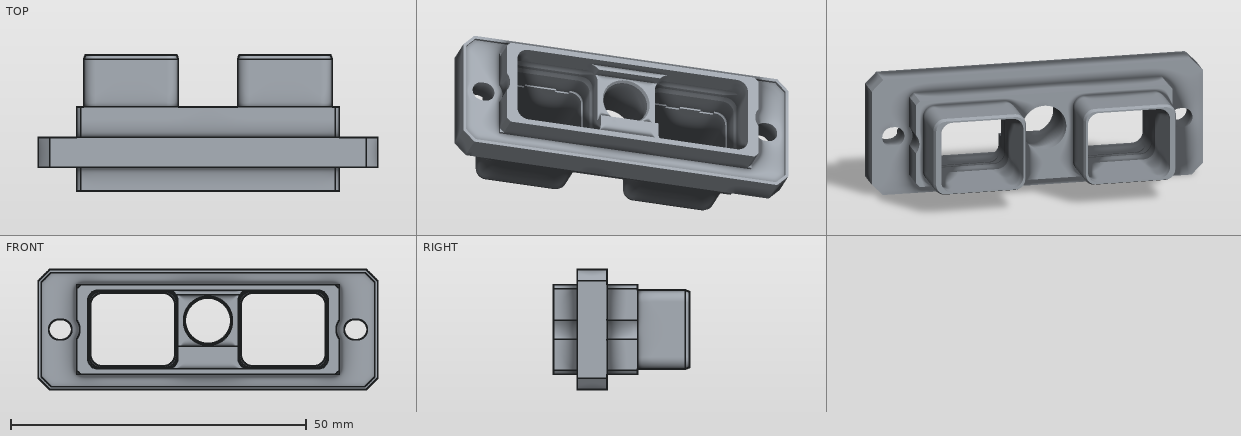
import cadquery as cq
import math


FLANGE_LENGTH = 57.45
FLANGE_HEIGHT = 20.35
FLANGE_FRONT = 4.0
FLANGE_THICKNESS = 5.05
FLANGE_REAR = FLANGE_FRONT + FLANGE_THICKNESS
FLANGE_CHAMFER = 1.95
RIM_WIDTH = 0.5
RECESS_DEPTH = 0.5
RECESS_CHAMFER = FLANGE_CHAMFER - RIM_WIDTH * (2 - math.sqrt(2))

BODY_LENGTH = 44.45
BODY_HEIGHT = 15.15
BODY_REAR = 14.25
BODY_CHAMFER = 0.7

SLOT_SPACING = 50.0
SLOT_LENGTH = 3.85
SLOT_HEIGHT = 3.4
RELIEF_RADIUS = 2.5
RELIEF_DEPTH = 0.6

TOWER_SPACING = 26.0
TOWER_LENGTH = 16.0
TOWER_HEIGHT = 13.4
TOWER_REAR = 23.05
TOWER_LIP_INSET = 0.3
TOWER_LIP_DEPTH = 0.75

CORNER_RADIUS = 1.95
POCKET_SPACING = 25.45
POCKET_LENGTH = 15.3
POCKET_HEIGHT = 13.3
TAPER_START = 6.55
TAPER_END = 7.65
TAPER_INSET = 0.25
SHOULDER_FRONT = 11.55
SHOULDER_WIDTH = 0.3
THROAT_LENGTH = POCKET_LENGTH - 2 * TAPER_INSET
THROAT_HEIGHT = POCKET_HEIGHT - 2 * TAPER_INSET
WINDOW_LENGTH = THROAT_LENGTH - 2 * SHOULDER_WIDTH
WINDOW_HEIGHT = THROAT_HEIGHT - 2 * SHOULDER_WIDTH

LATCH_FRONT = 4.1
LATCH_REAR = 5.8
LATCH_LENGTH = 14.6
LATCH_DEPTH = 0.45

KEY_CENTRES = (-16.7, -8.85, 10.6, 16.65)
KEY_WIDTH = 2.4
KEY_DEPTH = 0.6

BLOCK_FRONT = 1.85
NICHE_REAR = 3.8
NICHE_BOTTOM = -2.8
NICHE_TOP = 5.85
BORE_DIAMETER = 7.7
BORE_HEIGHT = 1.5
BORE_CHAMFER = 0.3
BORE_CHAMFER_DEPTH = 0.5


def plane_at(y, x=0, z=0):
    """Workplane across Y, with local X along X and local Y along Z."""
    return cq.Workplane("XZ", origin=(x, y, z))


def bar(length, height, y_start, y_end, x=0, z=0):
    """Rectangular block between two depths."""
    return plane_at(y_start, x, z).rect(length, height).extrude(y_start - y_end)


def chamfered_bar(length, height, chamfer, y_start, y_end):
    return bar(length, height, y_start, y_end).edges("|Y").chamfer(chamfer)


def rounded_bar(length, height, y_start, y_end, x=0):
    return bar(length, height, y_start, y_end, x).edges("|Y").fillet(CORNER_RADIUS)


def rounded_section(length, height):
    return cq.Sketch().rect(length, height).vertices().fillet(CORNER_RADIUS)


def rounded_loft(start_size, end_size, y_start, y_end, x):
    """Tapered block between two rounded rectangles."""
    sections = plane_at(y_start, x).placeSketch(
        rounded_section(*start_size),
        rounded_section(*end_size).moved(cq.Location(cq.Vector(0, 0, y_start - y_end))),
    )
    return sections.loft()


def reliefs():
    """Screw clearance cylinders that graze both ends of the body."""
    centre = BODY_LENGTH / 2 - RELIEF_DEPTH + RELIEF_RADIUS
    points = [(-centre, 0), (centre, 0)]
    return plane_at(0).pushPoints(points).circle(RELIEF_RADIUS).extrude(-BODY_REAR)


def flange():
    plate = chamfered_bar(FLANGE_LENGTH, FLANGE_HEIGHT, FLANGE_CHAMFER, FLANGE_FRONT, FLANGE_REAR)
    recess_floor = FLANGE_FRONT + RECESS_DEPTH
    recess = chamfered_bar(
        FLANGE_LENGTH - 2 * RIM_WIDTH,
        FLANGE_HEIGHT - 2 * RIM_WIDTH,
        RECESS_CHAMFER,
        FLANGE_FRONT,
        recess_floor,
    )
    pad = bar(BODY_LENGTH, BODY_HEIGHT, FLANGE_FRONT, recess_floor).cut(reliefs())
    slots = (
        plane_at(FLANGE_FRONT)
        .pushPoints([(-SLOT_SPACING / 2, 0), (SLOT_SPACING / 2, 0)])
        .slot2D(SLOT_LENGTH, SLOT_HEIGHT)
        .extrude(-FLANGE_THICKNESS)
    )
    return plate.cut(recess.cut(pad)).cut(slots)


def body():
    return chamfered_bar(BODY_LENGTH, BODY_HEIGHT, BODY_CHAMFER, 0, BODY_REAR).cut(reliefs())


def tower(x):
    block = rounded_bar(TOWER_LENGTH, TOWER_HEIGHT, BODY_REAR, TOWER_REAR, x)
    return block.faces(">Y").chamfer(TOWER_LIP_DEPTH, TOWER_LIP_INSET)


def pocket(x):
    """Cutter for one connector opening, from the mating face through the tower."""
    pocket_size = (POCKET_LENGTH, POCKET_HEIGHT)
    throat_size = (THROAT_LENGTH, THROAT_HEIGHT)
    cutter = rounded_bar(*pocket_size, 0, TAPER_START, x)
    cutter = cutter.union(rounded_loft(pocket_size, throat_size, TAPER_START, TAPER_END, x))
    cutter = cutter.union(rounded_bar(*throat_size, TAPER_END, SHOULDER_FRONT, x))
    cutter = cutter.union(rounded_bar(WINDOW_LENGTH, WINDOW_HEIGHT, SHOULDER_FRONT, TOWER_REAR, x))
    latch_front_size = (LATCH_LENGTH, POCKET_HEIGHT + 2 * LATCH_DEPTH)
    latch_rear_size = (LATCH_LENGTH, POCKET_HEIGHT)
    return cutter.union(rounded_loft(latch_front_size, latch_rear_size, LATCH_FRONT, LATCH_REAR, x))


def key_notch(x):
    z = (THROAT_HEIGHT - SHOULDER_WIDTH) / 2
    return bar(KEY_WIDTH, SHOULDER_WIDTH, SHOULDER_FRONT, SHOULDER_FRONT + KEY_DEPTH, x, z)


def front_cavity():
    """Cutter for the shared opening in front of the centre block."""
    return rounded_bar(POCKET_SPACING + POCKET_LENGTH, POCKET_HEIGHT, 0, BLOCK_FRONT)


def niche_and_bore():
    """Cutter for the niche in the centre block and the chamfered bore behind it."""
    niche_length = POCKET_SPACING
    niche_height = NICHE_TOP - NICHE_BOTTOM
    niche_centre = (NICHE_TOP + NICHE_BOTTOM) / 2
    niche = bar(niche_length, niche_height, BLOCK_FRONT, NICHE_REAR, 0, niche_centre)
    bore_start = plane_at(NICHE_REAR, 0, BORE_HEIGHT)
    bore = bore_start.circle(BORE_DIAMETER / 2).extrude(NICHE_REAR - BODY_REAR)
    mouth = (
        bore_start.circle(BORE_DIAMETER / 2 + BORE_CHAMFER)
        .workplane(offset=-BORE_CHAMFER_DEPTH)
        .circle(BORE_DIAMETER / 2)
        .loft()
    )
    return niche.union(bore).union(mouth)


result = flange().union(body())
for side in (-1, 1):
    result = result.union(tower(side * TOWER_SPACING / 2))
result = result.cut(front_cavity())
for side in (-1, 1):
    result = result.cut(pocket(side * POCKET_SPACING / 2))
for key_centre in KEY_CENTRES:
    result = result.cut(key_notch(key_centre))
result = result.cut(niche_and_bore())